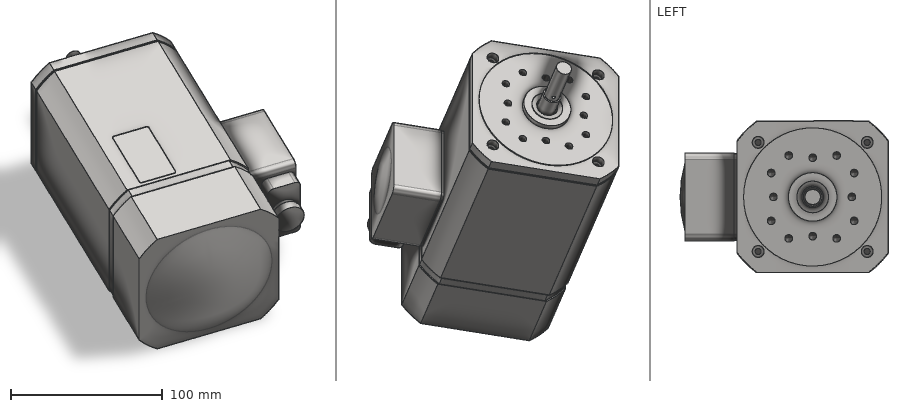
import cadquery as cq
import math


LENGTH = 237.5
SHAFT_STEP_X = 30.6
BOSS_FACE_X = 43.0
PILOT_FACE_X = 46.5
FLANGE_FACE_X = 47.3
GROOVE_START_X = 54.9
GROOVE_END_X = 55.8
NECK_START_X = 179.0
NECK_END_X = 186.0
BODY_END_X = 230.4

OVERALL_WIDTH = 137.5
BODY_WIDTH = 100.0
CORNER_RADIUS = 62.2
GROOVE_DEPTH = 0.5
NECK_DEPTH = 0.5
NECK_CORNER_RADIUS = 61.3
DOME_RADIUS = 45.1

SHAFT_DIAMETER = 10.2
COLLAR_DIAMETER = 12.4
CROSS_HOLE_DIAMETER = 2.1
CROSS_HOLE_X = 26.4
BOSS_DIAMETER = 32.0
SEAL_DIAMETER = 21.0
SEAL_DEPTH = 0.5
SHAFT_BORE_DIAMETER = 14.2
SHAFT_BORE_DEPTH = 2.4
PILOT_DIAMETER = 91.2

TAPPED_DIAMETER = 5.0
TAPPED_DEPTH = 9.5
DRILL_POINT_ANGLE = 118.0
INNER_CIRCLE_RADIUS = 26.0
OUTER_CIRCLE_RADIUS = 31.5
MOUNT_SPACING = 72.0
MOUNT_HOLE_DIAMETER = 4.0
MOUNT_HOLE_DEPTH = 14.2
MOUNT_BORE_DIAMETER = 7.8
MOUNT_BORE_DEPTH = 5.2

PLATE_START_X = 128.7
PLATE_LENGTH = 48.0
PLATE_WIDTH = 26.0
PLATE_EDGE_Y = -0.7
PLATE_THICKNESS = 0.5
PLATE_CORNER_RADIUS = 1.5

BOX_START_X = 120.5
BOX_LENGTH = 58.2
BOX_HEIGHT = 58.2
BOX_BASE_Y = 51.8
BOX_TOP_Y = 84.3
BOX_CORNER_RADIUS = 4.5
BOX_FOOT_INSET = 0.5
BOX_DOME_RADIUS = 22.3
BOX_DOME_RISE = OVERALL_WIDTH - BODY_WIDTH / 2 - BOX_TOP_Y

GLAND_Y = 71.2
GLAND_WIDTH = 23.3
GLAND_HEIGHT = 45.1
GLAND_CORNER_RADIUS = 4.0
GLAND_LENGTH = 10.7
GLAND_NECK_DIAMETER = 19.0
GLAND_NECK_LENGTH = 3.3
GLAND_CAP_DIAMETER = 21.0
GLAND_CAP_LENGTH = 6.0


def rod(diameter, start_x, end_x, y=0.0, z=0.0):
    """Cylinder along X between two stations."""
    plane = cq.Workplane("YZ", origin=(start_x, y, z))
    return plane.circle(diameter / 2).extrude(end_x - start_x)


def housing_section(start_x, end_x, inset=0.0, corner_radius=CORNER_RADIUS):
    """Stretch of the housing, with its flat sides set in and its corners on a circle."""
    plane = cq.Workplane("YZ", origin=(start_x, 0, 0))
    width = BODY_WIDTH - 2 * inset
    square = plane.rect(width, width).extrude(end_x - start_x)
    return square.intersect(rod(2 * corner_radius, start_x, end_x))


def domed_cap(edge_radius, rise):
    """Spherical cap with its flat side on Z = 0 and its top at Z = rise."""
    sphere_radius = (edge_radius**2 + rise**2) / (2 * rise)
    mid_angle = math.asin(edge_radius / sphere_radius) / 2
    centre_z = rise - sphere_radius
    mid_point = (sphere_radius * math.sin(mid_angle), centre_z + sphere_radius * math.cos(mid_angle))
    profile = (
        cq.Workplane("XZ")
        .lineTo(edge_radius, 0)
        .threePointArc(mid_point, (0, rise))
        .close()
    )
    return profile.revolve(360, (0, 0, 0), (0, 1, 0))


def make_housing():
    housing = housing_section(FLANGE_FACE_X, GROOVE_START_X)
    groove_corner_radius = CORNER_RADIUS - GROOVE_DEPTH
    housing = housing.union(housing_section(GROOVE_START_X, GROOVE_END_X, GROOVE_DEPTH, groove_corner_radius))
    housing = housing.union(housing_section(GROOVE_END_X, NECK_START_X))
    housing = housing.union(housing_section(NECK_START_X, NECK_END_X, NECK_DEPTH, NECK_CORNER_RADIUS))
    housing = housing.union(housing_section(NECK_END_X, BODY_END_X))
    rear_dome = domed_cap(DOME_RADIUS, LENGTH - BODY_END_X)
    rear_dome = rear_dome.rotate((0, 0, 0), (0, 1, 0), 90).translate((BODY_END_X, 0, 0))
    return housing.union(rear_dome)


def add_front(housing):
    """Pilot disc, boss with its seal recess, and the stepped shaft."""
    front = housing.union(rod(PILOT_DIAMETER, PILOT_FACE_X, FLANGE_FACE_X))
    front = front.union(rod(BOSS_DIAMETER, BOSS_FACE_X, PILOT_FACE_X))
    front = front.cut(rod(SEAL_DIAMETER, BOSS_FACE_X, BOSS_FACE_X + SEAL_DEPTH))
    bore_end_x = BOSS_FACE_X + SHAFT_BORE_DEPTH
    front = front.cut(rod(SHAFT_BORE_DIAMETER, BOSS_FACE_X, bore_end_x))
    front = front.union(rod(COLLAR_DIAMETER, SHAFT_STEP_X, bore_end_x))
    front = front.union(rod(SHAFT_DIAMETER, 0, SHAFT_STEP_X))
    cross_hole = (
        cq.Workplane("XY")
        .center(CROSS_HOLE_X, 0)
        .circle(CROSS_HOLE_DIAMETER / 2)
        .extrude(SHAFT_DIAMETER, both=True)
    )
    return front.cut(cross_hole)


def drilled_hole(diameter, start_x, depth, y, z):
    """Blind hole along X, ending in a conical drill point."""
    radius = diameter / 2
    point_length = radius / math.tan(math.radians(DRILL_POINT_ANGLE / 2))
    point = cq.Solid.makeCone(radius, 0, point_length, cq.Vector(start_x + depth, y, z), cq.Vector(1, 0, 0))
    return rod(diameter, start_x, start_x + depth, y, z).union(cq.Workplane(point))


def cut_tapped_holes(body):
    """Holes every 30 degrees; those on the Y and Z axes sit on a smaller circle."""
    for angle_degrees in range(0, 360, 30):
        angle = math.radians(angle_degrees)
        radius = INNER_CIRCLE_RADIUS if angle_degrees % 90 == 0 else OUTER_CIRCLE_RADIUS
        y = radius * math.cos(angle)
        z = radius * math.sin(angle)
        body = body.cut(drilled_hole(TAPPED_DIAMETER, PILOT_FACE_X, TAPPED_DEPTH, y, z))
    return body


def cut_mounting_holes(body):
    """Counterbored blind hole in each corner of the flange."""
    bore_end_x = FLANGE_FACE_X + MOUNT_BORE_DEPTH
    hole_end_x = FLANGE_FACE_X + MOUNT_HOLE_DEPTH
    for y in (-MOUNT_SPACING / 2, MOUNT_SPACING / 2):
        for z in (-MOUNT_SPACING / 2, MOUNT_SPACING / 2):
            body = body.cut(rod(MOUNT_BORE_DIAMETER, FLANGE_FACE_X, bore_end_x, y, z))
            body = body.cut(rod(MOUNT_HOLE_DIAMETER, FLANGE_FACE_X, hole_end_x, y, z))
    return body


def make_name_plate():
    centre_x = PLATE_START_X + PLATE_LENGTH / 2
    centre_y = PLATE_EDGE_Y - PLATE_WIDTH / 2
    plate = (
        cq.Workplane("XY", origin=(centre_x, centre_y, BODY_WIDTH / 2))
        .rect(PLATE_LENGTH, PLATE_WIDTH)
        .extrude(PLATE_THICKNESS)
    )
    return plate.edges("|Z").fillet(PLATE_CORNER_RADIUS)


def box_block(start_y, end_y, inset=0.0):
    """Rounded block of the terminal box between two Y stations."""
    centre_x = BOX_START_X + BOX_LENGTH / 2
    block = (
        cq.Workplane("XZ", origin=(centre_x, end_y, 0))
        .rect(BOX_LENGTH - 2 * inset, BOX_HEIGHT - 2 * inset)
        .extrude(end_y - start_y)
    )
    return block.edges("|Y").fillet(BOX_CORNER_RADIUS - inset)


def make_terminal_box():
    foot = box_block(BODY_WIDTH / 2, BOX_BASE_Y, BOX_FOOT_INSET)
    box = box_block(BOX_BASE_Y, BOX_TOP_Y)
    lid_dome = domed_cap(BOX_DOME_RADIUS, BOX_DOME_RISE)
    lid_dome = lid_dome.rotate((0, 0, 0), (1, 0, 0), -90)
    lid_dome = lid_dome.translate((BOX_START_X + BOX_LENGTH / 2, BOX_TOP_Y, 0))
    return foot.union(box).union(lid_dome)


def make_cable_gland():
    block_start_x = BOX_START_X + BOX_LENGTH
    neck_start_x = block_start_x + GLAND_LENGTH
    cap_start_x = neck_start_x + GLAND_NECK_LENGTH
    block = (
        cq.Workplane("YZ", origin=(block_start_x, GLAND_Y, 0))
        .rect(GLAND_WIDTH, GLAND_HEIGHT)
        .extrude(GLAND_LENGTH)
        .edges("|X")
        .fillet(GLAND_CORNER_RADIUS)
    )
    neck = rod(GLAND_NECK_DIAMETER, neck_start_x, cap_start_x, GLAND_Y)
    cap = rod(GLAND_CAP_DIAMETER, cap_start_x, cap_start_x + GLAND_CAP_LENGTH, GLAND_Y)
    return block.union(neck).union(cap)


motor = add_front(make_housing())
motor = cut_tapped_holes(motor)
motor = cut_mounting_holes(motor)
motor = motor.union(make_name_plate())
motor = motor.union(make_terminal_box())
result = motor.union(make_cable_gland())